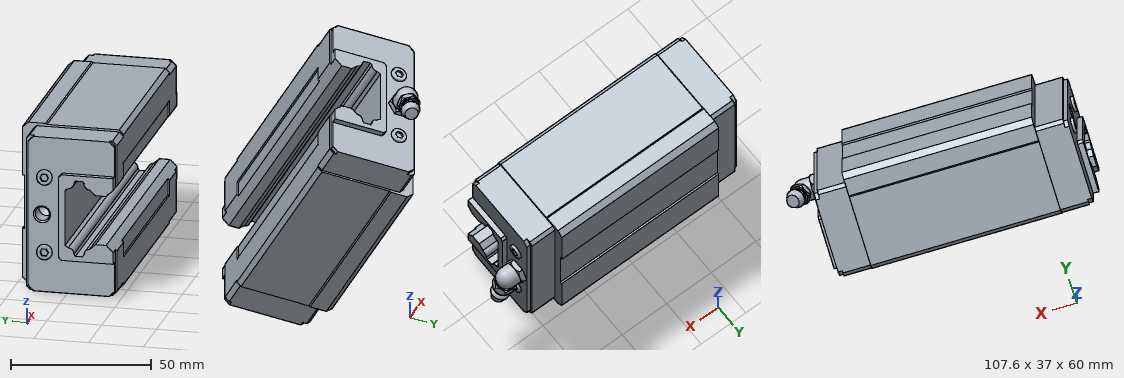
import cadquery as cq
import math


OVERALL_LENGTH = 107.6

BLOCK_LENGTH = 70.4
BLOCK_HEIGHT = 37.0
BLOCK_HALF_WIDTH = 30.0
BLOCK_SIDE_STEP = 0.3
STEP_BOTTOM_Y = 28.0
STEP_TOP_Y = 28.5
BLOCK_TOP_CHAMFER_Y = 2.3
BLOCK_TOP_CHAMFER_Z = 1.9
LOWER_CHAMFER = 1.6
MOUNT_RELIEF_HALF_WIDTH = 10.0
MOUNT_RELIEF_DEPTH = 0.8
LIP_POCKET_HALF_WIDTH = 17.6
LIP_POCKET_DEPTH = 0.6

CAP_OUTER_LENGTH = 94.0
SHOULDER_THICKNESS = 1.5
CAP_HEIGHT = 33.0
CAP_HALF_WIDTH = 28.9
CAP_TOP_CHAMFER = 1.3
SHOULDER_BOTTOM_Y = 0.5
SHOULDER_TOP_Y = 32.1
SHOULDER_CHAMFER = 1.9

SEAL_THICKNESS = 2.0
SEAL_TOP_Y = 20.4
SEAL_HALF_WIDTH = 16.0
SEAL_CHAMFER = 1.0
CARRIAGE_HALF_LENGTH = CAP_OUTER_LENGTH / 2 + SEAL_THICKNESS

CHANNEL_TOP_Y = 18.1
CHANNEL_TOP_HALF_WIDTH = 10.3
GROOVE_CENTER_Y = 13.0
GROOVE_FLOOR_HALF_WIDTH = 14.1
GROOVE_FLOOR_HALF_SPAN = 1.3
GROOVE_NECK_HALF_WIDTH = 13.3
GROOVE_NECK_HALF_SPAN = 1.8
GROOVE_BULGE_HALF_WIDTH = 11.7
GROOVE_BULGE_HALF_SPAN = 2.5
GROOVE_EDGE_HALF_WIDTH = 11.1
GROOVE_EDGE_HALF_SPAN = 3.9
LIP_HALF_WIDTH = 9.1
LIP_TOP_Y = 7.0
LIP_BOTTOM_Y = 3.1
MOUTH_HALF_WIDTH = 12.2

SCREW_Y = 26.0
SCREW_Z = 14.0
SCREW_HEAD_RADIUS = 2.8
SCREW_HEAD_HEIGHT = 1.0
SCREW_HEAD_FILLET = 0.2
SOCKET_ACROSS_CORNERS = 3.0
SOCKET_DEPTH = 0.8

PORT_Y = 27.0
PORT_RADIUS = 2.6
PORT_DEPTH = 6.5
PORT_CHAMFER = 0.5
DRILL_TIP_ANGLE = 118

ELBOW_RADIUS = 4.1
ELBOW_CENTER_X = CARRIAGE_HALF_LENGTH + 3.0
ELBOW_TILT = 22.5
BASE_HEX_RADIUS = 4.8
BASE_HEX_LENGTH = 2.0
HEAD_HEX_RADIUS = 4.1
HEAD_HEX_START = 2.9
HEAD_HEX_END = 5.7
HEX_CHAMFER = 0.6
NECK_RADIUS = 2.9
NECK_END = 6.5
WAIST_RADIUS = 2.6
WAIST_END = 7.1
BALL_SHOULDER_START = 7.7
BALL_SHOULDER_RADIUS = 3.1
BALL_RADIUS = 3.4
BALL_END = 8.4
TIP_RADIUS = 2.4
TIP_CORNER_X = OVERALL_LENGTH - CARRIAGE_HALF_LENGTH
TIP_CORNER_REACH = TIP_RADIUS * math.cos(math.radians(ELBOW_TILT))
TIP_END = (TIP_CORNER_X - ELBOW_CENTER_X - TIP_CORNER_REACH) / math.sin(math.radians(ELBOW_TILT))

OVERCUT = 1.1


def along_x(outline, start_x, length):
    """Extrude a closed outline drawn in (Y, Z) from start_x towards +X."""
    return outline.extrude(length).translate((start_x, 0, 0))


def mirrored_outline(half_outline):
    """Closed (Y, Z) outline from its +Z half."""
    other_half = [(y, -z) for y, z in reversed(half_outline)]
    return cq.Workplane("YZ").polyline(half_outline + other_half).close()


def chamfered_bar(length, bottom_y, top_y, half_width, bottom_chamfer, top_chamfer):
    """Rectangular bar centred on X = 0 with its four long edges chamfered."""
    half_outline = [
        (bottom_y, half_width - bottom_chamfer),
        (bottom_y + bottom_chamfer, half_width),
        (top_y - top_chamfer, half_width),
        (top_y, half_width - top_chamfer),
    ]
    return along_x(mirrored_outline(half_outline), -length / 2, length)


def block():
    flank = BLOCK_HALF_WIDTH - BLOCK_SIDE_STEP
    half_outline = [
        (0, flank - LOWER_CHAMFER),
        (LOWER_CHAMFER, flank),
        (STEP_BOTTOM_Y, flank),
        (STEP_TOP_Y, BLOCK_HALF_WIDTH),
        (BLOCK_HEIGHT - BLOCK_TOP_CHAMFER_Y, BLOCK_HALF_WIDTH),
        (BLOCK_HEIGHT, BLOCK_HALF_WIDTH - BLOCK_TOP_CHAMFER_Z),
        (BLOCK_HEIGHT, MOUNT_RELIEF_HALF_WIDTH),
        (BLOCK_HEIGHT - MOUNT_RELIEF_DEPTH, MOUNT_RELIEF_HALF_WIDTH),
    ]
    return along_x(mirrored_outline(half_outline), -BLOCK_LENGTH / 2, BLOCK_LENGTH)


def lip_pocket():
    """Shallow pocket in the open side of the block, across both channel lips."""
    return cq.Workplane().box(BLOCK_LENGTH, 2 * LIP_POCKET_DEPTH, 2 * LIP_POCKET_HALF_WIDTH)


def end_parts():
    """Caps, shoulder plates and seals, as bars that run through both ends."""
    cap_length = CAP_OUTER_LENGTH - 2 * SHOULDER_THICKNESS
    caps = chamfered_bar(cap_length, 0, CAP_HEIGHT, CAP_HALF_WIDTH, LOWER_CHAMFER, CAP_TOP_CHAMFER)
    shoulders = chamfered_bar(
        CAP_OUTER_LENGTH, SHOULDER_BOTTOM_Y, SHOULDER_TOP_Y, CAP_HALF_WIDTH,
        SHOULDER_CHAMFER, SHOULDER_CHAMFER,
    )
    seal_half_outline = [
        (SHOULDER_BOTTOM_Y, SEAL_HALF_WIDTH),
        (SEAL_TOP_Y - SEAL_CHAMFER, SEAL_HALF_WIDTH),
        (SEAL_TOP_Y, SEAL_HALF_WIDTH - SEAL_CHAMFER),
    ]
    seals = along_x(mirrored_outline(seal_half_outline), -CARRIAGE_HALF_LENGTH, 2 * CARRIAGE_HALF_LENGTH)
    return caps.union(shoulders).union(seals)


def rail_channel():
    """Full-length channel for the rail, with a ball groove in each side."""
    def groove_point(offset, half_width):
        return (GROOVE_CENTER_Y + offset, half_width)

    half = (
        cq.Workplane("YZ")
        .moveTo(CHANNEL_TOP_Y, 0)
        .lineTo(CHANNEL_TOP_Y, CHANNEL_TOP_HALF_WIDTH)
        .lineTo(*groove_point(GROOVE_EDGE_HALF_SPAN, GROOVE_EDGE_HALF_WIDTH))
        .threePointArc(
            groove_point(GROOVE_BULGE_HALF_SPAN, GROOVE_BULGE_HALF_WIDTH),
            groove_point(GROOVE_NECK_HALF_SPAN, GROOVE_NECK_HALF_WIDTH),
        )
        .lineTo(*groove_point(GROOVE_FLOOR_HALF_SPAN, GROOVE_FLOOR_HALF_WIDTH))
        .lineTo(*groove_point(-GROOVE_FLOOR_HALF_SPAN, GROOVE_FLOOR_HALF_WIDTH))
        .lineTo(*groove_point(-GROOVE_NECK_HALF_SPAN, GROOVE_NECK_HALF_WIDTH))
        .threePointArc(
            groove_point(-GROOVE_BULGE_HALF_SPAN, GROOVE_BULGE_HALF_WIDTH),
            groove_point(-GROOVE_EDGE_HALF_SPAN, GROOVE_EDGE_HALF_WIDTH),
        )
        .lineTo(LIP_TOP_Y, LIP_HALF_WIDTH)
        .lineTo(LIP_BOTTOM_Y, LIP_HALF_WIDTH)
        .lineTo(0, MOUTH_HALF_WIDTH)
        .lineTo(-OVERCUT, MOUTH_HALF_WIDTH)
        .lineTo(-OVERCUT, 0)
        .close()
    )
    start_x = -CARRIAGE_HALF_LENGTH - OVERCUT
    upper = along_x(half, start_x, -2 * start_x)
    return upper.union(upper.mirror("XY"))


def screw_head():
    """Socket screw head on the +X cap face, at the +Z position."""
    return (
        cq.Workplane("YZ")
        .circle(SCREW_HEAD_RADIUS)
        .extrude(SCREW_HEAD_HEIGHT)
        .faces(">X").edges().fillet(SCREW_HEAD_FILLET)
        .faces(">X").workplane()
        .polygon(6, SOCKET_ACROSS_CORNERS)
        .cutBlind(-SOCKET_DEPTH)
        .translate((CAP_OUTER_LENGTH / 2, SCREW_Y, SCREW_Z))
    )


def grease_port():
    """Countersunk blind hole with a drill tip, cut into the +X cap face."""
    tip_length = PORT_RADIUS / math.tan(math.radians(DRILL_TIP_ANGLE / 2))
    profile = [
        (0, 0),
        (0, PORT_RADIUS + PORT_CHAMFER),
        (-PORT_CHAMFER, PORT_RADIUS),
        (-PORT_DEPTH, PORT_RADIUS),
        (-PORT_DEPTH - tip_length, 0),
    ]
    hole = cq.Workplane("XY").polyline(profile).close().revolve(360, (0, 0), (1, 0))
    return hole.translate((CAP_OUTER_LENGTH / 2, PORT_Y, 0))


def carriage():
    body = block().union(end_parts()).cut(lip_pocket()).cut(rail_channel())
    upper_screw = screw_head()
    port = grease_port()
    for screw in (upper_screw, upper_screw.mirror("XY")):
        body = body.union(screw).union(screw.mirror("YZ"))
    return body.cut(port).cut(port.mirror("YZ"))


def chamfered_hexagon(radius, start, end, chamfer_start):
    """Hexagon along Z whose corners are turned off at its end, and at its start if asked."""
    prism = cq.Workplane("XY").polygon(6, 2 * radius).extrude(end - start)
    turned = cq.Workplane("XY").circle(radius).extrude(end - start)
    turned = turned.faces(">Z or <Z" if chamfer_start else ">Z").chamfer(HEX_CHAMFER)
    return prism.intersect(turned).translate((0, 0, start))


def nipple_head():
    """Hexagon and grease fitting, along +Z from the elbow centre."""
    hexagon = chamfered_hexagon(HEAD_HEX_RADIUS, HEAD_HEX_START, HEAD_HEX_END, True)
    profile = [
        (0, 0),
        (NECK_RADIUS, 0),
        (NECK_RADIUS, NECK_END),
        (WAIST_RADIUS, WAIST_END),
        (BALL_SHOULDER_RADIUS, BALL_SHOULDER_START),
        (BALL_RADIUS, BALL_END),
        (TIP_RADIUS, TIP_END),
        (0, TIP_END),
    ]
    fitting = cq.Workplane("XZ").polyline(profile).close().revolve(360, (0, 0), (0, 1))
    return hexagon.union(fitting)


def grease_nipple():
    """Stud, base hexagon, elbow and tilted head; the stud fills the straight part of the port."""
    cap_face = CAP_OUTER_LENGTH / 2
    stud = along_x(cq.Workplane("YZ").circle(PORT_RADIUS), cap_face - PORT_DEPTH, PORT_DEPTH)
    base = chamfered_hexagon(BASE_HEX_RADIUS, 0, BASE_HEX_LENGTH, False)
    base = base.rotate((0, 0, 0), (0, 0, 1), 90)
    base = base.rotate((0, 0, 0), (0, 1, 0), 90).translate((cap_face, 0, 0))
    neck = along_x(cq.Workplane("YZ").circle(ELBOW_RADIUS), cap_face, ELBOW_CENTER_X - cap_face)
    elbow = cq.Workplane("XY").sphere(ELBOW_RADIUS)
    head = nipple_head().rotate((0, 0, 0), (0, 1, 0), 180 - ELBOW_TILT)
    turned_parts = elbow.union(head).translate((ELBOW_CENTER_X, 0, 0))
    nipple = stud.union(base).union(neck).union(turned_parts)
    return nipple.translate((0, PORT_Y, 0))


carriage_body = carriage()
nipple_body = grease_nipple()

result = cq.Compound.makeCompound([carriage_body.val(), nipple_body.val()])